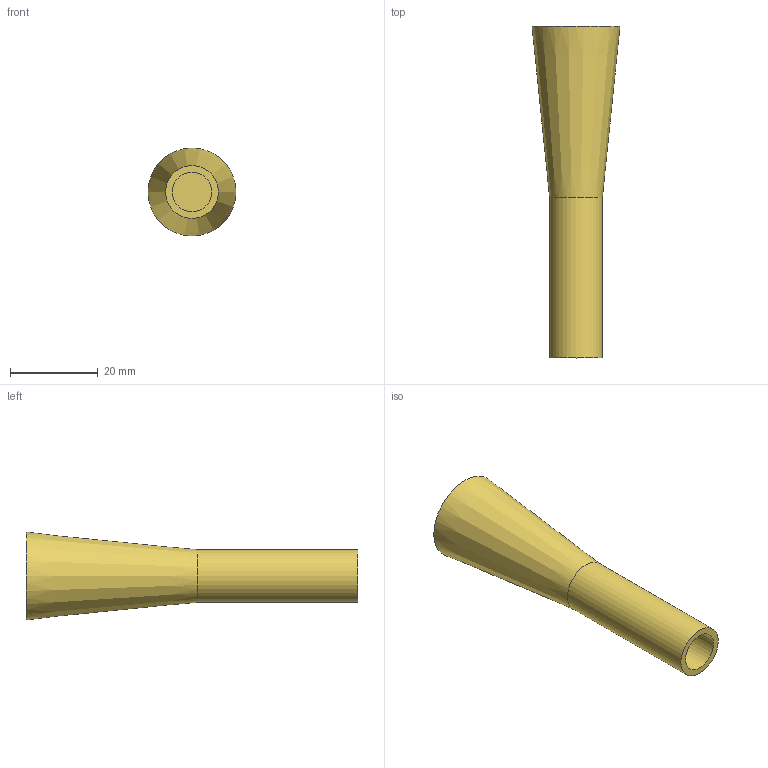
import cadquery as cq

total_length = 75.5
cone_length = 39.0
wide_diameter = 20.0
tube_diameter = 12.0
bore_diameter = 9.0

tube_length = total_length - cone_length
bore_depth = tube_length


def make_body():
    """Straight tube from Y = 0, flaring into a cone that is widest at the +Y end."""
    tube_radius = tube_diameter / 2
    wide_radius = wide_diameter / 2
    profile = (
        cq.Workplane("XY")
        .moveTo(0, 0)
        .lineTo(tube_radius, 0)
        .lineTo(tube_radius, tube_length)
        .lineTo(wide_radius, total_length)
        .lineTo(0, total_length)
        .close()
    )
    return profile.revolve(360, (0, 0, 0), (0, 1, 0))


def make_bore():
    """Blind bore cut into the open end of the tube along +Y."""
    return cq.Workplane("XZ").circle(bore_diameter / 2).extrude(-bore_depth)


result = make_body().cut(make_bore())